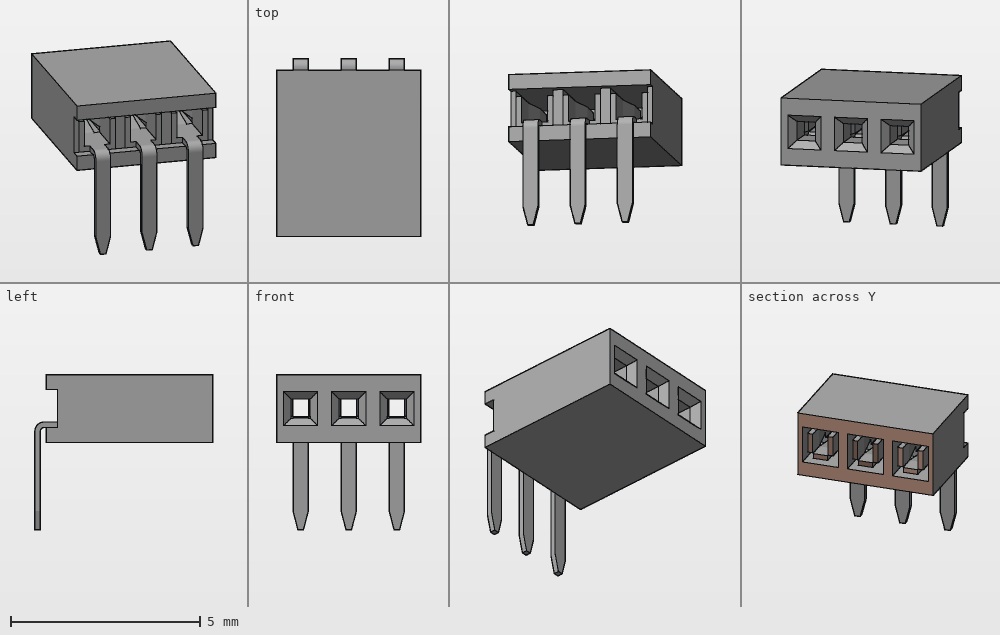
import cadquery as cq


contact_count = 3
pitch = 1.27

housing_width = 3.81
housing_length = 4.4
housing_height = 1.8
notch_depth = 0.295
notch_height = 1.0
socket_z = housing_height / 2
notch_face_y = housing_length - notch_depth

funnel_side = 0.9
funnel_depth = 0.2
hole_side = 0.505
cavity_start_y = 1.0
cavity_side = notch_height

strip_thickness = 0.15
lead_width = 0.405
lead_overhang = 0.3
lead_drop = 2.3
lead_tip_width = 0.15
lead_tip_length = 0.49
bend_inner_radius = 0.1
bend_outer_radius = bend_inner_radius + strip_thickness

channel_length = 1.0
channel_half_outer = cavity_side / 2
channel_half_inner = channel_half_outer - strip_thickness
channel_start_y = notch_face_y - channel_length
grip_half_gap = 0.2
throat_half_gap = 0.215
arm_entry_length = 0.31
throat_y = cavity_start_y + arm_entry_length
grip_y = (throat_y + channel_start_y) / 2

contact_positions = [(i - (contact_count - 1) / 2) * pitch for i in range(contact_count)]


def box_between(x_range, y_range, z_range):
    """Box that spans the given (low, high) pairs."""
    lows, highs = zip(x_range, y_range, z_range)
    sizes = [high - low for low, high in zip(lows, highs)]
    return cq.Workplane("XY").box(*sizes, centered=False).translate(lows)


def make_socket(x):
    """Space cut from the housing for one contact, from the mating face to the notch."""
    mating_plane = cq.Workplane("XZ", origin=(x, 0, socket_z))
    funnel = (
        mating_plane.rect(funnel_side, funnel_side)
        .workplane(offset=-funnel_depth)
        .rect(hole_side, hole_side)
        .loft(ruled=True)
    )
    hole = mating_plane.rect(hole_side, hole_side).extrude(-cavity_start_y)
    cavity = (
        mating_plane.workplane(offset=-cavity_start_y)
        .rect(cavity_side, cavity_side)
        .extrude(-(notch_face_y - cavity_start_y))
    )
    return funnel.union(hole).union(cavity)


def make_housing():
    """Block with a full-width notch in its rear face and one socket per contact."""
    half_width = housing_width / 2
    housing = box_between((-half_width, half_width), (0, housing_length), (0, housing_height))
    notch = box_between(
        (-half_width, half_width),
        (notch_face_y, housing_length),
        (socket_z - notch_height / 2, socket_z + notch_height / 2),
    )
    housing = housing.cut(notch)
    for x in contact_positions:
        housing = housing.cut(make_socket(x))
    return housing


def make_lead():
    """Lead that leaves the channel floor, bends down and ends in a tapered tip, at X = 0."""
    top_z = socket_z - channel_half_inner
    underside_z = top_z - strip_thickness
    rear_y = housing_length + lead_overhang
    inner_y = rear_y - strip_thickness
    bend_y = rear_y - bend_outer_radius
    bend_z = top_z - bend_outer_radius
    profile = (
        cq.Workplane("YZ")
        .moveTo(notch_face_y, top_z)
        .lineTo(bend_y, top_z)
        .radiusArc((rear_y, bend_z), bend_outer_radius)
        .lineTo(rear_y, -lead_drop)
        .lineTo(inner_y, -lead_drop)
        .lineTo(inner_y, bend_z)
        .radiusArc((bend_y, underside_z), -bend_inner_radius)
        .lineTo(notch_face_y, underside_z)
        .close()
    )
    strip = profile.extrude(lead_width / 2, both=True)
    taper_z = lead_tip_length - lead_drop
    outline = (
        cq.Workplane("XZ", origin=(0, notch_face_y, 0))
        .moveTo(-lead_width / 2, top_z)
        .lineTo(lead_width / 2, top_z)
        .lineTo(lead_width / 2, taper_z)
        .lineTo(lead_tip_width / 2, -lead_drop)
        .lineTo(-lead_tip_width / 2, -lead_drop)
        .lineTo(-lead_width / 2, taper_z)
        .close()
        .extrude(notch_face_y - rear_y)
    )
    return strip.intersect(outline)


def make_channel():
    """U-shaped channel, open at the top, that holds the arms and the lead, at X = 0."""
    y_range = (channel_start_y, notch_face_y)
    top_z = socket_z + channel_half_inner
    outer = box_between(
        (-channel_half_outer, channel_half_outer), y_range, (socket_z - channel_half_outer, top_z)
    )
    inner = box_between(
        (-channel_half_inner, channel_half_inner), y_range, (socket_z - channel_half_inner, top_z)
    )
    return outer.cut(inner)


def make_arm(reach_down, reach_up):
    """Spring arm on the -X side of the socket axis, spanning the given heights below and above it.

    From the channel it runs in to the grip point, slightly out to the throat, then flares.
    """
    grip_half_outer = grip_half_gap + strip_thickness
    throat_half_outer = throat_half_gap + strip_thickness
    profile = (
        cq.Workplane("XY", origin=(0, 0, -reach_down))
        .polyline(
            [
                (-channel_half_inner, channel_start_y),
                (-grip_half_gap, grip_y),
                (-throat_half_gap, throat_y),
                (-channel_half_inner, cavity_start_y),
                (-channel_half_outer, cavity_start_y),
                (-throat_half_outer, throat_y),
                (-grip_half_outer, grip_y),
                (-channel_half_outer, channel_start_y),
            ]
        )
        .close()
    )
    return profile.extrude(reach_down + reach_up)


def make_arms():
    """Two side arms and one bottom arm, with open corners between them, at X = 0."""
    half_width = lead_width / 2
    left_arm = make_arm(half_width, channel_half_inner)
    right_arm = left_arm.mirror("YZ")
    bottom_arm = make_arm(half_width, half_width).rotate((0, 0, 0), (0, 1, 0), -90)
    return [arm.translate((0, 0, socket_z)) for arm in (left_arm, right_arm, bottom_arm)]


def make_contact(x):
    """One contact: channel, spring arms and lead as a single solid."""
    contact = make_channel().union(make_lead())
    for arm in make_arms():
        contact = contact.union(arm)
    return contact.translate((x, 0, 0))


housing = make_housing().solids()
contacts = [make_contact(x).solids() for x in contact_positions]

result = cq.Compound.makeCompound([housing.val(), *[contact.val() for contact in contacts]])